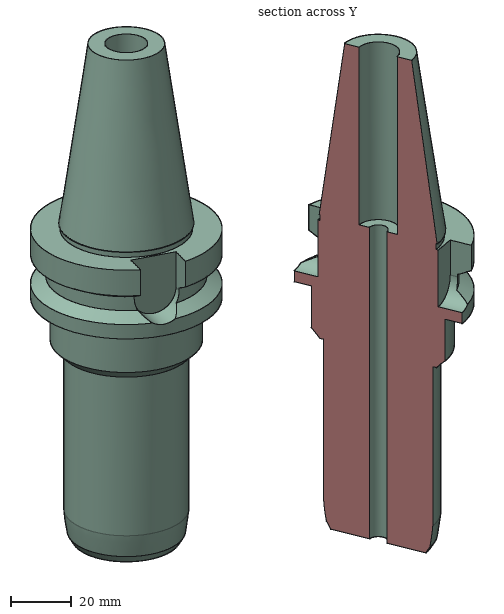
import cadquery as cq

total_length = 180.4
flange_top = 113.0
taper_base = 115.0

taper_small_radius = 12.6
taper_large_radius = 22.2
neck_radius = 21.8

flange_diameter = 63.0
flange_radius = flange_diameter / 2
flange_thickness = 25.0
upper_rim_height = 9.4
lower_rim_height = 5.2
groove_radius = 26.5
groove_side_height = 2.7

collar_radius = 25.0
collar_height = 18.5
collar_chamfer = 3.2

nose_radius = 20.5
nose_curve_start = 10.8
nose_curve_end_radius = 19.5
nose_chamfer_height = 2.7
nose_tip_radius = 17.9
nose_curve_bulge = 0.2

slot_width = 16.0
slot_depth = 21.0
slot_floor_distance = 22.5

shank_bore_diameter = 14.0
shank_bore_depth = total_length - taper_base
through_hole_diameter = 6.5


def turned_body():
    flange_bottom = flange_top - flange_thickness
    upper_rim_bottom = flange_top - upper_rim_height
    lower_rim_top = flange_bottom + lower_rim_height
    collar_bottom = flange_bottom - collar_height
    nose_curve_middle = (
        (nose_radius + nose_curve_end_radius) / 2 + nose_curve_bulge,
        (nose_curve_start + nose_chamfer_height) / 2,
    )
    return (
        cq.Workplane("XZ")
        .lineTo(nose_tip_radius, 0)
        .lineTo(nose_curve_end_radius, nose_chamfer_height)
        .threePointArc(nose_curve_middle, (nose_radius, nose_curve_start))
        .lineTo(nose_radius, collar_bottom)
        .lineTo(collar_radius - collar_chamfer, collar_bottom)
        .lineTo(collar_radius, collar_bottom + collar_chamfer)
        .lineTo(collar_radius, flange_bottom)
        .lineTo(flange_radius, flange_bottom)
        .lineTo(flange_radius, lower_rim_top)
        .lineTo(groove_radius, lower_rim_top + groove_side_height)
        .lineTo(groove_radius, upper_rim_bottom - groove_side_height)
        .lineTo(flange_radius, upper_rim_bottom)
        .lineTo(flange_radius, flange_top)
        .lineTo(neck_radius, flange_top)
        .lineTo(neck_radius, taper_base)
        .lineTo(taper_large_radius, taper_base)
        .lineTo(taper_small_radius, total_length)
        .lineTo(0, total_length)
        .close()
        .revolve(360, (0, 0, 0), (0, 1, 0))
    )


def drive_slot(side):
    """Slot open at the flange top with a round lower end; side is -1 or +1 along X."""
    slot_radius = slot_width / 2
    slot_bottom = flange_top - slot_depth
    round_center = slot_bottom + slot_radius
    return (
        cq.Workplane("YZ", origin=(side * slot_floor_distance, 0, 0))
        .moveTo(-slot_radius, flange_top)
        .lineTo(-slot_radius, round_center)
        .threePointArc((0, slot_bottom), (slot_radius, round_center))
        .lineTo(slot_radius, flange_top)
        .close()
        .extrude(side * flange_radius)
    )


def axial_bores(body):
    return (
        body.faces(">Z")
        .workplane(origin=(0, 0, total_length))
        .cboreHole(through_hole_diameter, shank_bore_diameter, shank_bore_depth)
    )


result = axial_bores(turned_body())
for side in (-1, 1):
    result = result.cut(drive_slot(side))